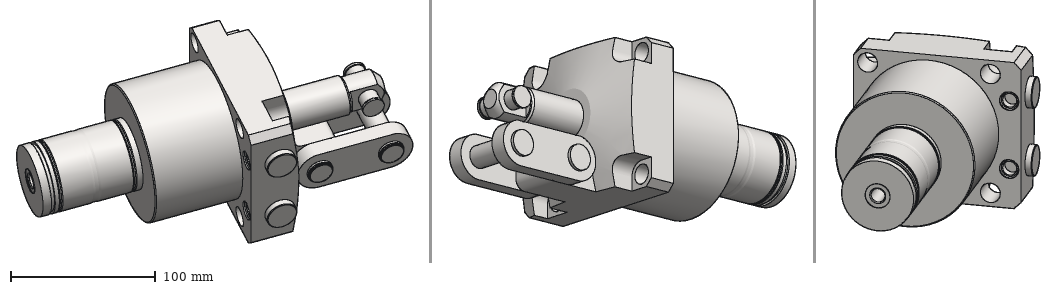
import cadquery as cq
import math


FLANGE_HALF = 54.0
PORT_SIDE_X = 66.0
CORNER_CHAMFER = 5.2
CAP_Y = 47.7
CAP_FLAT_RADIUS = 21.5
CONE_RIM_RADIUS = FLANGE_HALF
CONE_RIM_Y = 38.7
CONE_OUTER_RADIUS = 95.5

BOLT_OFFSET = 44.0
BOLT_DIAMETER = 14.2
BOLT_SEAT_Y = 20.5
BOLT_SEAT_RADIUS = 10.0

BARREL_RADIUS = 50.0
BARREL_END_Y = -64.5
BARREL_CHAMFER = 0.8
STEM_RADIUS = 26.0
STEM_END_Y = -138.5
SEAL_GROOVE_DEPTH = 0.3
SEAL_GROOVE_WIDTH = 2.7
SEAL_GROOVE_SLOPE = 0.8
SEAL_GROOVE_CENTRES = (-70.3, -125.0)
CHANNEL_CENTRE_Y = -98.0
CHANNEL_WIDTH = 6.0
CHANNEL_SLOPE = 1.5
RETAINER_CENTRE_Y = -130.8
RETAINER_WIDTH = 2.7
RETAINER_DEPTH = 1.5
STEM_TIP_LENGTH = 4.4
STEM_TIP_RELIEF = 0.14

END_SPOT_DIAMETER = 17.7
END_SPOT_DEPTH = 0.5
END_PORT_DIAMETER = 9.8
END_PORT_CHAMFER = 0.8
END_PORT_DEPTH = 21.8

PORT_OFFSET_Z = 25.0
FACE_PORT_X = 57.2
FACE_PORT_DIAMETER = 13.5
FACE_PORT_CHAMFER = 0.8
FACE_PORT_DEPTH = 2.0
FACE_PORT_BORE = 10.0
FACE_PORT_BORE_DEPTH = 8.2
PLUG_Y = 21.3
PLUG_DIAMETER = 22.0
PLUG_HEIGHT = 5.0
PLUG_CHAMFER = 0.5

ROD_RADIUS = 14.2
ROD_SHOULDER_Y = 94.3
ROD_CHAMFER = 1.4
EYE_RADIUS = ROD_RADIUS - ROD_CHAMFER
EYE_FLAT_Y = 95.5
EYE_TIP_Y = 121.5
EYE_TIP_CHAMFER = 6.0
EYE_HALF_THICKNESS = 8.0
CROSS_PIN_Y = 108.5
CROSS_PIN_RADIUS = 7.0
CROSS_PIN_HALF_LENGTH = 19.0
CROSS_PIN_RIM_RADIUS = 8.0
CROSS_PIN_RIM_WIDTH = 2.0

LINK_RADIUS = 16.4
LINK_TOP_HEIGHT = 16.0
LINK_Z = LINK_RADIUS - FLANGE_HALF
LINK_INNER_X = 16.0
LINK_OUTER_X = 28.0
LUG_PIN_Y = 65.0
FREE_PIN_Y = 117.7
PIN_RADIUS = 8.2
PIN_HEAD_RADIUS = 9.3
PIN_HEAD_HEIGHT = 2.5
PIN_COLLAR_HEIGHT = 1.5
PIN_CLIP_RADIUS = 8.7
PIN_CLIP_HEIGHT = 1.5
PIN_CLIP_CHAMFER = 0.5

LUG_END_Y = 83.5
LUG_END_RADIUS = 8.0
LUG_TOP_Z = LINK_Z + LINK_TOP_HEIGHT
LUG_ROOT_Y = 27.2
LUG_SHOULDER_Y = 51.8
LUG_SHOULDER_Z = -17.0
LUG_SHOULDER_CHAMFER = 2.2
LUG_SHOULDER_FILLET = LUG_SHOULDER_Z - LUG_TOP_Z


def cylinder_y(radius, start_y, end_y, x=0.0, z=0.0):
    """Cylinder along Y between two stations."""
    return cq.Workplane("XZ", origin=(x, start_y, z)).circle(radius).extrude(start_y - end_y)


def cylinder_x(radius, start_x, end_x, y, z):
    """Cylinder along X between two stations."""
    return cq.Workplane("YZ", origin=(start_x, y, z)).circle(radius).extrude(end_x - start_x)


def revolve_y(points):
    """Turn a closed (radius, y) outline about the Y axis."""
    return cq.Workplane("XY").polyline(points).close().revolve(360, (0, 0, 0), (0, 1, 0))


def make_flange():
    """Chamfered block whose cap face is a flat disc running out into a shallow cone."""
    block = cq.Workplane("XY").box(
        FLANGE_HALF + PORT_SIDE_X, CAP_Y, 2 * FLANGE_HALF, centered=False
    ).translate((-FLANGE_HALF, 0, -FLANGE_HALF))
    block = block.edges("|Y").chamfer(CORNER_CHAMFER)
    slope = (CAP_Y - CONE_RIM_Y) / (CONE_RIM_RADIUS - CAP_FLAT_RADIUS)
    cone_outer_y = CAP_Y - slope * (CONE_OUTER_RADIUS - CAP_FLAT_RADIUS)
    envelope = revolve_y([
        (0, 0),
        (CONE_OUTER_RADIUS, 0),
        (CONE_OUTER_RADIUS, cone_outer_y),
        (CAP_FLAT_RADIUS, CAP_Y),
        (0, CAP_Y),
    ])
    return block.intersect(envelope)


def bolt_cut(side_x, side_z):
    """Through hole with a bolt seat that is open to the nearby block edges."""
    x = side_x * BOLT_OFFSET
    z = side_z * BOLT_OFFSET
    hole = cylinder_y(BOLT_DIAMETER / 2, 0, CAP_Y, x, z)
    seat = cylinder_y(BOLT_SEAT_RADIUS, BOLT_SEAT_Y, CAP_Y, x, z)
    slot_length = FLANGE_HALF - BOLT_OFFSET
    seat_height = CAP_Y - BOLT_SEAT_Y
    seat_mid_y = (CAP_Y + BOLT_SEAT_Y) / 2
    slot_z = cq.Workplane("XY").box(2 * BOLT_SEAT_RADIUS, seat_height, slot_length)
    slot_z = slot_z.translate((x, seat_mid_y, side_z * (BOLT_OFFSET + slot_length / 2)))
    cut = hole.union(seat).union(slot_z)
    if side_x < 0:
        corner = cq.Workplane("XY").box(slot_length, seat_height, slot_length + BOLT_SEAT_RADIUS)
        corner_z = side_z * (BOLT_OFFSET + (slot_length - BOLT_SEAT_RADIUS) / 2)
        cut = cut.union(corner.translate((x - slot_length / 2, seat_mid_y, corner_z)))
    return cut


def make_barrel():
    """Large cylinder below the flange."""
    barrel = cylinder_y(BARREL_RADIUS, 0, BARREL_END_Y)
    return barrel.faces("<Y").chamfer(BARREL_CHAMFER)


def groove(centre_y, width, depth, slope):
    """Ring cut in the stem, with walls that slope over the given length."""
    floor_radius = STEM_RADIUS - depth
    half = width / 2
    return revolve_y([
        (STEM_RADIUS, centre_y - half),
        (floor_radius, centre_y - half + slope),
        (floor_radius, centre_y + half - slope),
        (STEM_RADIUS, centre_y + half),
    ])


def make_stem():
    """Grooved stem with a port in its end."""
    stem = cylinder_y(STEM_RADIUS, BARREL_END_Y, STEM_END_Y)
    for centre_y in SEAL_GROOVE_CENTRES:
        stem = stem.cut(groove(centre_y, SEAL_GROOVE_WIDTH, SEAL_GROOVE_DEPTH, SEAL_GROOVE_SLOPE))
    stem = stem.cut(groove(CHANNEL_CENTRE_Y, CHANNEL_WIDTH, SEAL_GROOVE_DEPTH, CHANNEL_SLOPE))
    stem = stem.cut(groove(RETAINER_CENTRE_Y, RETAINER_WIDTH, RETAINER_DEPTH, 0))
    stem = stem.faces("<Y").edges().chamfer(STEM_TIP_LENGTH, STEM_TIP_RELIEF)
    spot = cylinder_y(END_SPOT_DIAMETER / 2, STEM_END_Y, STEM_END_Y + END_SPOT_DEPTH)
    port_y = STEM_END_Y + END_SPOT_DEPTH
    bore_radius = END_PORT_DIAMETER / 2
    port = revolve_y([
        (0, port_y),
        (bore_radius + END_PORT_CHAMFER, port_y),
        (bore_radius, port_y + END_PORT_CHAMFER),
        (bore_radius, STEM_END_Y + END_PORT_DEPTH),
        (0, STEM_END_Y + END_PORT_DEPTH),
    ])
    return stem.cut(spot).cut(port)


def face_port(z):
    """Seal recess and bore in the mounting face."""
    recess = cylinder_y(FACE_PORT_DIAMETER / 2, 0, FACE_PORT_DEPTH, FACE_PORT_X, z)
    recess = recess.faces(">Y").chamfer(FACE_PORT_CHAMFER)
    return recess.union(cylinder_y(FACE_PORT_BORE / 2, 0, FACE_PORT_BORE_DEPTH, FACE_PORT_X, z))


def port_plug(z):
    """Plug head standing out of the port side of the flange."""
    plug = cylinder_x(PLUG_DIAMETER / 2, PORT_SIDE_X, PORT_SIDE_X + PLUG_HEIGHT, PLUG_Y, z)
    return plug.faces(">X").chamfer(PLUG_CHAMFER)


def make_rod():
    """Piston rod with a flattened eye and a rimmed cross pin."""
    rod = cylinder_y(ROD_RADIUS, CAP_Y, ROD_SHOULDER_Y).faces(">Y").chamfer(ROD_CHAMFER)
    eye = cylinder_y(EYE_RADIUS, ROD_SHOULDER_Y, EYE_TIP_Y).faces(">Y").chamfer(EYE_TIP_CHAMFER)
    flat_length = EYE_TIP_Y - EYE_FLAT_Y
    flat_depth = EYE_RADIUS - EYE_HALF_THICKNESS
    for side in (-1, 1):
        flat = cq.Workplane("XY").box(flat_depth, flat_length, 2 * EYE_RADIUS)
        flat_x = side * (EYE_HALF_THICKNESS + flat_depth / 2)
        eye = eye.cut(flat.translate((flat_x, EYE_FLAT_Y + flat_length / 2, 0)))
    rod = rod.union(eye)
    rod = rod.union(
        cylinder_x(CROSS_PIN_RADIUS, -CROSS_PIN_HALF_LENGTH, CROSS_PIN_HALF_LENGTH, CROSS_PIN_Y, 0)
    )
    for side in (-1, 1):
        rim_start = side * (CROSS_PIN_HALF_LENGTH - CROSS_PIN_RIM_WIDTH)
        rim_end = side * CROSS_PIN_HALF_LENGTH
        rod = rod.union(cylinder_x(CROSS_PIN_RIM_RADIUS, rim_start, rim_end, CROSS_PIN_Y, 0))
    return rod


def make_lug():
    """Lug between the links, stepped up to a shoulder where it meets the cap."""
    fillet_offset = LUG_SHOULDER_FILLET * (1 - math.sqrt(0.5))
    lug = (
        cq.Workplane("YZ", origin=(-LINK_INNER_X, 0, 0))
        .moveTo(LUG_ROOT_Y, -FLANGE_HALF)
        .lineTo(LUG_END_Y, -FLANGE_HALF)
        .lineTo(LUG_END_Y, LUG_TOP_Z)
        .lineTo(LUG_SHOULDER_Y + LUG_SHOULDER_FILLET, LUG_TOP_Z)
        .threePointArc(
            (LUG_SHOULDER_Y + fillet_offset, LUG_TOP_Z + fillet_offset),
            (LUG_SHOULDER_Y, LUG_SHOULDER_Z),
        )
        .lineTo(LUG_ROOT_Y, LUG_SHOULDER_Z)
        .close()
        .extrude(2 * LINK_INNER_X)
    )
    lug = lug.faces(">Z").edges("|Y").chamfer(LUG_SHOULDER_CHAMFER)
    lug = lug.faces(">Y").edges("|X").fillet(LUG_END_RADIUS)
    return lug.cut(cylinder_x(PIN_RADIUS, -LINK_INNER_X, LINK_INNER_X, LUG_PIN_Y, LINK_Z))


def make_cylinder():
    """Clamp cylinder: flange, barrel, stem, plugs, piston rod and lug in one solid."""
    body = make_flange().union(make_barrel()).union(make_stem())
    for side_x in (-1, 1):
        for side_z in (-1, 1):
            body = body.cut(bolt_cut(side_x, side_z))
    for side_z in (-1, 1):
        port_z = side_z * PORT_OFFSET_Z
        body = body.cut(face_port(port_z)).union(port_plug(port_z))
    return body.union(make_rod()).union(make_lug())


def make_link(start_x):
    """Flat link with round ends, two pin holes and a slightly flattened top, from start_x towards +X."""
    thickness = LINK_OUTER_X - LINK_INNER_X
    span = FREE_PIN_Y - LUG_PIN_Y
    middle_y = (FREE_PIN_Y + LUG_PIN_Y) / 2
    link = (
        cq.Workplane("YZ", origin=(start_x, middle_y, LINK_Z))
        .slot2D(span + 2 * LINK_RADIUS, 2 * LINK_RADIUS)
        .pushPoints([(-span / 2, 0), (span / 2, 0)])
        .circle(PIN_RADIUS)
        .extrude(thickness)
    )
    below_top = cq.Workplane("XY", origin=(start_x + thickness / 2, middle_y, LUG_TOP_Z)).rect(
        thickness, span + 2 * LINK_RADIUS
    )
    return link.intersect(below_top.extrude(-2 * LINK_RADIUS))


def make_link_pin(y):
    """Pin with a plain head on its -X end and a collar and retaining clip on its +X end."""
    shank = cylinder_x(PIN_RADIUS, -LINK_OUTER_X, LINK_OUTER_X, y, LINK_Z)
    head = cylinder_x(PIN_HEAD_RADIUS, -LINK_OUTER_X - PIN_HEAD_HEIGHT, -LINK_OUTER_X, y, LINK_Z)
    collar_end = LINK_OUTER_X + PIN_COLLAR_HEIGHT
    collar = cylinder_x(PIN_HEAD_RADIUS, LINK_OUTER_X, collar_end, y, LINK_Z)
    clip = cylinder_x(PIN_CLIP_RADIUS, collar_end, collar_end + PIN_CLIP_HEIGHT, y, LINK_Z)
    clip = clip.faces(">X").chamfer(PIN_CLIP_CHAMFER)
    return shank.union(head).union(collar).union(clip)


clamp_cylinder = make_cylinder()
links = [make_link(start_x) for start_x in (-LINK_OUTER_X, LINK_INNER_X)]
link_pins = [make_link_pin(y) for y in (LUG_PIN_Y, FREE_PIN_Y)]

result = cq.Compound.makeCompound([
    clamp_cylinder.val(),
    *[link.val() for link in links],
    *[pin.val() for pin in link_pins],
])